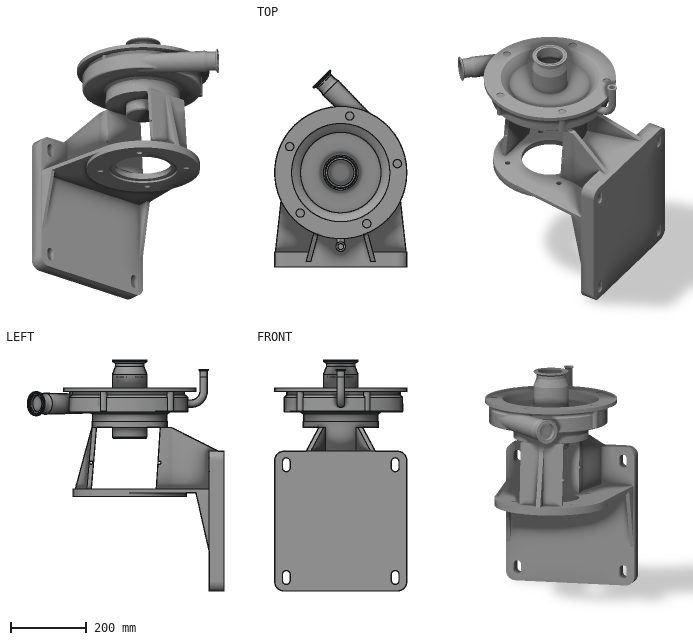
import cadquery as cq
import math


plate_width = 350.0
plate_thickness = 40.0
plate_top = 100.0
plate_bottom = -270.0
plate_outer_y = -250.0
plate_inner_y = plate_outer_y + plate_thickness
plate_corner_radius = 25.0
plate_mid_z = (plate_top + plate_bottom) / 2
slot_width = 20.0
slot_length = 36.0
slot_spacing_x = 288.0
slot_spacing_z = 298.0

floor_radius = 150.0
floor_thickness = 20.0
floor_opening_radius = 75.0
spigot_recess_radius = 90.0
spigot_recess_depth = 5.0
apron_thickness = 10.0
apron_end_half_width = 173.0
floor_hole_diameter = 15.0
floor_hole_circle_radius = 114.0
floor_hole_count = 4
under_rib_reach = 35.0
under_rib_bottom = -165.0
under_rib_thickness = 10.0

leg_height = 163.0
leg_half_width = 58.0
wall_thickness = 12.0
ring_radius = 99.5
ring_thickness = 15.0
front_leg_bottom_y = -70.0
front_leg_top_y = -80.5
wing_bend_y = -110.0
wing_splay = math.radians(15)
wing_end_y = -235.0
rear_leg_bottom_y = 101.0
rear_leg_top_y = 87.5
rear_rib_bottom_y = 144.0
rear_rib_top_y = 100.0
leg_hole_diameter = 8.0
leg_hole_z = 69.5
leg_hole_front_y = -78.5
leg_hole_rear_y = 102.0

cover_bottom = leg_height + ring_thickness
cover_radius = 98.5
cover_lip_bottom = 198.0
cover_lip_radius = 106.0
hub_radius = 46.0
hub_bottom = 134.0
hub_chamfer = 3.0

casing_center = (7.0, 3.0)
casing_radius = 157.0
casing_bottom = 203.0
casing_top = 248.0
casing_shoulder = 6.0
casing_bottom_fillet = 3.0
neck_radius = 148.0

flange_radius = 175.0
flange_bottom = 257.5
flange_thickness = 10.0
flange_top = flange_bottom + flange_thickness
dish_radius = 130.0
dish_rim_radius = 128.5
dish_rim_depth = 1.5
dish_floor_radius = 106.5
dish_floor_z = 245.0

boss_count = 5
boss_circle_radius = 151.5
boss_start_angle = 9.0
boss_radius = 9.0
screw_recess_radius = 11.0
screw_recess_depth = 3.0

inlet_top = 340.5
inlet_rim_radius = 46.0
inlet_rim_thickness = 2.85
inlet_rim_taper_end = 332.0
inlet_neck_radius = 38.0
inlet_cone_top = 324.0
inlet_cone_bottom = 303.0
inlet_pipe_radius = 46.0
inlet_foot_size = 4.0
inlet_bore_radius = 35.0
inlet_bore_depth = 30.0
inlet_bore_cone_depth = 45.0
inlet_chamber_radius = 43.0
inlet_groove_radius = 41.0
gasket_groove_width = 2.5
gasket_groove_depth = 1.5

port_z = 225.5
outlet_angle = 135.0
outlet_offset = 139.5
outlet_rim_radius = 32.0
outlet_face = 211.5
outlet_rim_thickness = 2.85
outlet_taper_end = 205.0
outlet_neck_radius = 25.5
outlet_swell_start = 186.0
outlet_swell_end = 177.5
outlet_swell_radius = 28.0
outlet_root_radius = 24.5
outlet_bore_radius = 22.5
outlet_bore_depth = 11.0
outlet_groove_radius = 28.0

drain_radius = 10.0
drain_bend_radius = 34.0
drain_riser_y = -195.7
drain_top = 316.5
drain_rim_radius = 12.7
drain_rim_thickness = 2.5
drain_rim_taper = 2.0
drain_bore_radius = 7.7
drain_bore_depth = 20.0
drain_root_y = -100.0


def disc(radius, bottom, top, center=(0.0, 0.0)):
    """Vertical cylinder between two heights."""
    return cq.Workplane("XY", origin=(center[0], center[1], bottom)).circle(radius).extrude(top - bottom)


def turned(points):
    """Solid of revolution about Z from (radius, height) points."""
    return cq.Workplane("XZ").polyline(points).close().revolve(360, (0, 0, 0), (0, 1, 0))


def yz_slab(points, x_min, x_max):
    """Prism along X from a (y, z) outline."""
    return cq.Workplane("YZ", origin=(x_min, 0, 0)).polyline(points).close().extrude(x_max - x_min)


def mirrored_pair(body):
    return body.union(body.mirror("YZ"))


def make_mounting_plate():
    plate = (
        cq.Workplane("XY")
        .box(plate_width, plate_thickness, plate_top - plate_bottom)
        .edges("|Y")
        .fillet(plate_corner_radius)
        .translate((0, (plate_outer_y + plate_inner_y) / 2, plate_mid_z))
    )
    slots = (
        cq.Workplane("XZ", origin=(0, plate_inner_y, plate_mid_z))
        .rarray(slot_spacing_x, slot_spacing_z, 2, 2)
        .slot2D(slot_length, slot_width, 90)
        .extrude(plate_thickness)
    )
    return plate.cut(slots)


def make_floor():
    apron = (
        cq.Workplane("XY", origin=(0, 0, -apron_thickness))
        .moveTo(floor_radius, 0)
        .threePointArc((0, floor_radius), (-floor_radius, 0))
        .lineTo(-apron_end_half_width, plate_inner_y)
        .lineTo(apron_end_half_width, plate_inner_y)
        .close()
        .extrude(apron_thickness)
    )
    floor = apron.union(disc(floor_radius, -floor_thickness, 0))
    bolt_holes = (
        cq.Workplane("XY", origin=(0, 0, -floor_thickness))
        .polarArray(floor_hole_circle_radius, 45, 360, floor_hole_count)
        .circle(floor_hole_diameter / 2)
        .extrude(floor_thickness)
    )
    opening = disc(floor_opening_radius, -floor_thickness, 0)
    spigot_recess = disc(spigot_recess_radius, -floor_thickness, spigot_recess_depth - floor_thickness)
    return floor.cut(opening).cut(spigot_recess).cut(bolt_holes)


def make_under_ribs():
    """Triangular ribs below the apron, flush with its tapered sides."""
    rib_start_y = plate_inner_y + under_rib_reach
    edge_slope = (apron_end_half_width - floor_radius) / -plate_inner_y
    rib_start_x = floor_radius - edge_slope * rib_start_y
    footprint = [
        (rib_start_x, rib_start_y),
        (apron_end_half_width, plate_inner_y),
        (apron_end_half_width - under_rib_thickness, plate_inner_y),
        (rib_start_x - under_rib_thickness, rib_start_y),
    ]
    column = (
        cq.Workplane("XY", origin=(0, 0, under_rib_bottom))
        .polyline(footprint)
        .close()
        .extrude(-apron_thickness - under_rib_bottom)
    )
    triangle = [
        (rib_start_y, -apron_thickness),
        (plate_inner_y, -apron_thickness),
        (plate_inner_y, under_rib_bottom),
    ]
    return mirrored_pair(column.intersect(yz_slab(triangle, 0, plate_width / 2)))


def make_front_leg():
    """Curved wall with a sloping inner face, two splayed wings and the shelf between them."""
    inner_face = [
        (front_leg_bottom_y, 0),
        (front_leg_top_y, leg_height),
        (wing_bend_y, leg_height),
        (wing_bend_y, 0),
    ]
    leg_block = yz_slab(inner_face, -leg_half_width, leg_half_width)
    wall = leg_block.intersect(disc(ring_radius, 0, leg_height))

    run = wing_bend_y - wing_end_y
    drift = run * math.tan(wing_splay)
    wing_inner_x = leg_half_width - wall_thickness / math.cos(wing_splay)
    wing_root_x = wing_inner_x - (front_leg_top_y - wing_bend_y) * math.tan(wing_splay)
    wing_footprint = [
        (leg_half_width, front_leg_top_y),
        (leg_half_width, wing_bend_y),
        (leg_half_width + drift, wing_end_y),
        (wing_inner_x + drift, wing_end_y),
        (wing_root_x, front_leg_top_y),
    ]
    wing = cq.Workplane("XY").polyline(wing_footprint).close().extrude(leg_height)
    wing_side = [
        (front_leg_top_y, 0),
        (front_leg_top_y, leg_height),
        (wing_bend_y, leg_height),
        (wing_end_y, plate_top),
        (plate_inner_y, plate_top),
        (plate_inner_y, 0),
    ]
    wing = wing.intersect(yz_slab(wing_side, 0, plate_width / 2))

    shelf_end_x = leg_half_width + (wing_bend_y - plate_inner_y) * math.tan(wing_splay)
    shelf_inset = wall_thickness / 2
    shelf = (
        cq.Workplane("XY")
        .polyline(
            [
                (leg_half_width - shelf_inset, front_leg_top_y),
                (leg_half_width - shelf_inset, wing_bend_y),
                (shelf_end_x - shelf_inset, plate_inner_y),
                (-shelf_end_x + shelf_inset, plate_inner_y),
                (-leg_half_width + shelf_inset, wing_bend_y),
                (-leg_half_width + shelf_inset, front_leg_top_y),
            ]
        )
        .close()
        .extrude(plate_top)
    )
    return wall.union(mirrored_pair(wing)).union(shelf)


def make_rear_leg():
    """Leaning slab with a triangular rib behind it."""
    slab = [
        (rear_leg_bottom_y, 0),
        (rear_leg_top_y, leg_height),
        (rear_leg_top_y + wall_thickness, leg_height),
        (rear_leg_bottom_y + wall_thickness, 0),
    ]
    rib = [
        (rear_leg_bottom_y, 0),
        (rear_leg_top_y, leg_height),
        (rear_rib_top_y, leg_height),
        (rear_rib_bottom_y, 0),
    ]
    leg = yz_slab(slab, -leg_half_width, leg_half_width)
    return leg.union(yz_slab(rib, -wall_thickness / 2, wall_thickness / 2))


def make_leg_holes():
    return (
        cq.Workplane("YZ", origin=(-leg_half_width, 0, 0))
        .pushPoints([(leg_hole_front_y, leg_hole_z), (leg_hole_rear_y, leg_hole_z)])
        .circle(leg_hole_diameter / 2)
        .extrude(2 * leg_half_width)
    )


def make_bracket():
    legs = make_front_leg().union(make_rear_leg()).cut(make_leg_holes())
    ring = disc(ring_radius, leg_height, cover_bottom)
    return make_mounting_plate().union(make_floor()).union(make_under_ribs()).union(legs).union(ring)


def make_casing():
    cover = turned(
        [
            (0, cover_bottom),
            (cover_radius, cover_bottom),
            (cover_radius, cover_lip_bottom),
            (cover_lip_radius, casing_bottom),
            (0, casing_bottom),
        ]
    )
    hub = disc(hub_radius, hub_bottom, cover_bottom).faces("<Z").chamfer(hub_chamfer)
    volute = (
        disc(casing_radius, casing_bottom, casing_top, casing_center)
        .faces("<Z")
        .edges()
        .fillet(casing_bottom_fillet)
        .faces(">Z")
        .edges()
        .chamfer(casing_shoulder)
    )
    neck = disc(neck_radius, casing_bottom, flange_bottom, casing_center)
    return volute.union(neck).union(cover).union(hub)


def make_flange_screws(radius, bottom, top):
    return (
        cq.Workplane("XY", origin=(0, 0, bottom))
        .polarArray(boss_circle_radius, boss_start_angle, 360, boss_count)
        .circle(radius)
        .extrude(top - bottom)
    )


def make_dish():
    return turned(
        [
            (0, dish_floor_z),
            (dish_floor_radius, dish_floor_z),
            (dish_rim_radius, flange_top - dish_rim_depth),
            (dish_radius, flange_top),
            (0, flange_top),
        ]
    )


def gasket_groove(mid_radius, face_z):
    outer_radius = mid_radius + gasket_groove_width / 2
    inner_radius = mid_radius - gasket_groove_width / 2
    bottom = face_z - gasket_groove_depth
    return disc(outer_radius, bottom, face_z).cut(disc(inner_radius, bottom, face_z))


def make_inlet():
    foot_mid = inlet_foot_size * (1 - math.sqrt(0.5))
    pipe = (
        cq.Workplane("XZ")
        .moveTo(0, dish_floor_z)
        .lineTo(inlet_pipe_radius + inlet_foot_size, dish_floor_z)
        .threePointArc(
            (inlet_pipe_radius + foot_mid, dish_floor_z + foot_mid),
            (inlet_pipe_radius, dish_floor_z + inlet_foot_size),
        )
        .lineTo(inlet_pipe_radius, inlet_cone_bottom)
        .lineTo(inlet_neck_radius, inlet_cone_top)
        .lineTo(inlet_neck_radius, inlet_rim_taper_end)
        .lineTo(inlet_rim_radius, inlet_top - inlet_rim_thickness)
        .lineTo(inlet_rim_radius, inlet_top)
        .lineTo(0, inlet_top)
        .close()
        .revolve(360, (0, 0, 0), (0, 1, 0))
    )
    bore = turned(
        [
            (0, dish_floor_z),
            (inlet_chamber_radius, dish_floor_z),
            (inlet_chamber_radius, inlet_top - inlet_bore_cone_depth),
            (inlet_bore_radius, inlet_top - inlet_bore_depth),
            (inlet_bore_radius, inlet_top),
            (0, inlet_top),
        ]
    )
    return pipe.cut(bore).cut(gasket_groove(inlet_groove_radius, inlet_top))


def make_outlet():
    """Discharge pipe turned about Z, then laid along the tangent of the casing."""
    pipe = turned(
        [
            (0, 0),
            (outlet_root_radius, 0),
            (outlet_swell_radius, outlet_swell_end),
            (outlet_neck_radius, outlet_swell_start),
            (outlet_neck_radius, outlet_taper_end),
            (outlet_rim_radius, outlet_face - outlet_rim_thickness),
            (outlet_rim_radius, outlet_face),
            (0, outlet_face),
        ]
    )
    pipe = pipe.cut(disc(outlet_bore_radius, outlet_face - outlet_bore_depth, outlet_face))
    pipe = pipe.cut(gasket_groove(outlet_groove_radius, outlet_face))
    return (
        pipe.rotate((0, 0, 0), (0, 1, 0), 90)
        .translate((0, -outlet_offset, port_z))
        .rotate((0, 0, 0), (0, 0, 1), outlet_angle)
    )


def make_drain():
    bend_y = drain_riser_y + drain_bend_radius
    bend_top = port_z + drain_bend_radius
    bend_mid = drain_bend_radius * math.sqrt(0.5)
    path = (
        cq.Workplane("YZ")
        .moveTo(drain_root_y, port_z)
        .lineTo(bend_y, port_z)
        .threePointArc((bend_y - bend_mid, bend_top - bend_mid), (drain_riser_y, bend_top))
        .lineTo(drain_riser_y, drain_top)
    )
    tube = cq.Workplane("XZ", origin=(0, drain_root_y, port_z)).circle(drain_radius).sweep(path)
    rim_bottom = drain_top - drain_rim_thickness
    rim = turned(
        [
            (0, rim_bottom - drain_rim_taper),
            (drain_radius, rim_bottom - drain_rim_taper),
            (drain_rim_radius, rim_bottom),
            (drain_rim_radius, drain_top),
            (0, drain_top),
        ]
    ).translate((0, drain_riser_y, 0))
    bore = disc(drain_bore_radius, drain_top - drain_bore_depth, drain_top, (0, drain_riser_y))
    return tube.union(rim).cut(bore)


def make_pump():
    flange = disc(flange_radius, flange_bottom, flange_top)
    recess_floor = flange_top - screw_recess_depth
    recesses = make_flange_screws(screw_recess_radius, recess_floor, flange_top)
    bosses = make_flange_screws(boss_radius, casing_bottom + casing_bottom_fillet, flange_bottom)
    body = make_casing().union(flange).union(bosses).cut(make_dish()).cut(recesses)
    return body.union(make_inlet()).union(make_outlet()).union(make_drain())


result = make_bracket().union(make_pump())